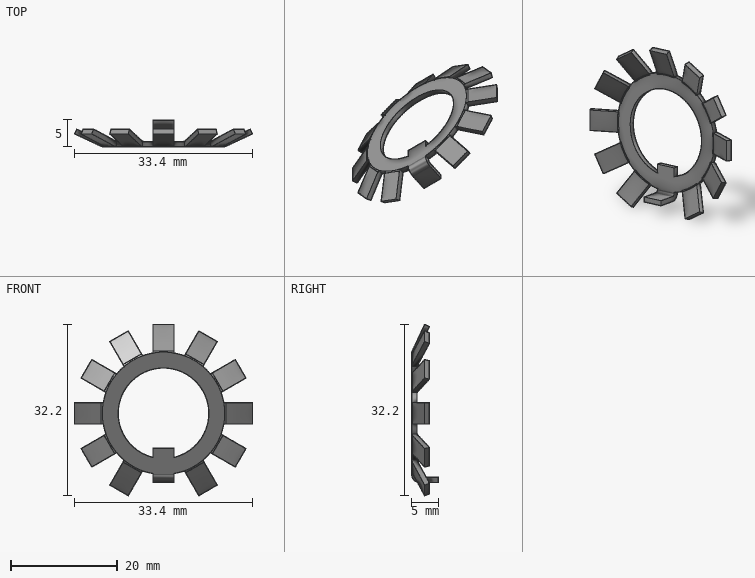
import cadquery as cq
import math

overall_diameter = 33.42
thickness = 1.0
bore_radius = 8.5
ring_radius = 11.5
tooth_width = 4.0
tooth_positions = 12
bend_angle = math.radians(25)
cone_length = 0.25
key_radius = 6.52
tab_height = 5.0
tab_bend_radius = 1.5

tip_radius = overall_diameter / 2
tooth_root = ring_radius + cone_length
back_shift = thickness * math.tan(bend_angle / 2)
overlap = 0.35


def front_height(radius):
    """Height of the bent front face at a given radius along the tooth centre line."""
    return (radius - ring_radius) * math.tan(bend_angle)


def bent_section(start, end):
    """Corners of a piece of the bent sheet, as (radius, height); its ends are square to the sheet."""
    normal_radius = -thickness * math.sin(bend_angle)
    normal_height = thickness * math.cos(bend_angle)
    return [
        (start, front_height(start)),
        (end, front_height(end)),
        (end + normal_radius, front_height(end) + normal_height),
        (start + normal_radius, front_height(start) + normal_height),
    ]


def make_ring():
    return cq.Workplane("XZ").circle(ring_radius).circle(bore_radius).extrude(-thickness)


def make_tooth():
    """Tooth along +X: a flat bent blade, joined to the ring by a conical strip."""
    blade = (
        cq.Workplane("XY")
        .polyline(bent_section(tooth_root, tip_radius))
        .close()
        .extrude(tooth_width / 2, both=True)
    )
    cone_end = math.hypot(tooth_root, tooth_width / 2)
    inner_radius = ring_radius - back_shift - overlap
    strip = (
        cq.Workplane("XY")
        .moveTo(inner_radius, 0)
        .lineTo(ring_radius, 0)
        .lineTo(cone_end, front_height(cone_end))
        .lineTo(*bent_section(ring_radius, cone_end)[2])
        .lineTo(ring_radius - back_shift, thickness)
        .lineTo(inner_radius, thickness)
        .close()
        .revolve(360, (0, 0, 0), (0, 1, 0))
    )
    strip_limit = cq.Workplane("XY").box(
        tooth_root, tab_height, tooth_width, centered=(False, False, True)
    )
    return blade.union(strip.intersect(strip_limit))


def make_key():
    """Key reaching from the ring into the bore on the -Z side."""
    key_length = bore_radius + overlap - key_radius
    return cq.Workplane("XY").box(
        tooth_width, thickness, key_length, centered=(True, False, False)
    ).translate((0, 0, -key_radius - key_length))


def make_square_tab():
    """Tab on the -Z side, bent through a right angle toward +Y."""
    outer = ring_radius + tab_bend_radius
    inner = outer - thickness
    inner_bend_radius = tab_bend_radius - thickness
    root = bore_radius + overlap
    diagonal = math.sqrt(0.5)
    return (
        cq.Workplane("YZ")
        .moveTo(0, -root)
        .lineTo(0, -ring_radius)
        .threePointArc(
            (tab_bend_radius * (1 - diagonal), -ring_radius - tab_bend_radius * diagonal),
            (tab_bend_radius, -outer),
        )
        .lineTo(tab_height, -outer)
        .lineTo(tab_height, -inner)
        .lineTo(tab_bend_radius, -inner)
        .threePointArc(
            (tab_bend_radius - inner_bend_radius * diagonal, -ring_radius - inner_bend_radius * diagonal),
            (thickness, -ring_radius),
        )
        .lineTo(thickness, -root)
        .close()
        .extrude(tooth_width / 2, both=True)
    )


result = make_ring().union(make_key()).union(make_square_tab())

tooth = make_tooth()
pitch = 360 / tooth_positions
for position in range(1, tooth_positions):
    angle = 90 + position * pitch
    result = result.union(tooth.rotate((0, 0, 0), (0, 1, 0), angle))